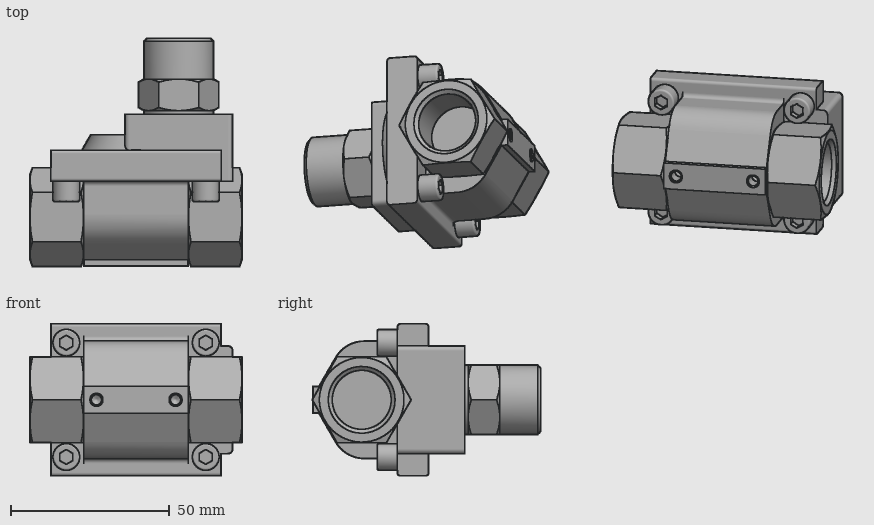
import cadquery as cq
import math


overall_length = 67.0
overall_depth = 72.1

end_hex_flats = 27.0
end_hex_chamfer_diameter = 26.7
end_hex_chamfer_slope = math.tan(math.radians(20))
end_hex_inner_x = 16.5
end_hex_thickness = overall_length / 2 - end_hex_inner_x
socket_diameter = 18.6
socket_mouth_diameter = 21.05
socket_chamfer_angle = math.radians(45)
socket_depth = end_hex_thickness

body_length = 32.8
body_height = 37.1
body_half_height = body_height / 2
body_round_radius = 10.5
body_round_y = 0.9
body_slope = math.radians(60)
body_fillet = 1.45
pad_front_y = -15.4
pad_height = 8.4

pad_hole_spacing = 24.95
pad_hole_diameter = 3.25
pad_hole_mouth_diameter = 4.1
pad_hole_depth = 5.8
pad_hole_chamfer_angle = math.radians(45)
drill_point_angle = math.radians(118)

plate_length = 53.7
plate_height = 48.0
plate_front_y = 11.25
plate_thickness = 9.9
plate_edge_radius = 1.0
plate_back_y = plate_front_y + plate_thickness

screw_x = 22.0
screw_z = 18.0
screw_head_diameter = 8.4
screw_head_height = 6.35
screw_edge_radius = 0.65
screw_key_flats = 4.05
screw_key_depth = 3.0

hub_back_y = 26.0
hub_back_diameter = 28.55
hub_half_angle = math.radians(30)

outlet_x = 13.5
block_side = 34.0
block_back_y = 32.5
block_corner_radius = 1.5

nipple_diameter = 22.0
nipple_end_y = overall_depth - end_hex_flats / math.sqrt(3)
nipple_chamfer = 1.0
nut_flats = 22.0
nut_chamfer_diameter = 21.8
nut_chamfer_slope = math.tan(math.radians(30))
nut_front_y = 33.5
nut_thickness = 10.1


def facing_y(y, x=0, z=0):
    """Sketch plane at the given Y whose normal is +Y, with its own x along +X."""
    return cq.Workplane(cq.Plane(origin=(x, y, z), xDir=(1, 0, 0), normal=(0, 1, 0)))


def chamfered_hexagon(plane, flats, thickness, chamfer_diameter, slope):
    """Hexagonal prism with both ends turned down to a cone; corners on the plane's x axis."""
    corner_radius = flats / math.sqrt(3)
    chamfer_radius = chamfer_diameter / 2
    drop = (corner_radius - chamfer_radius) * slope
    prism = plane.polygon(6, 2 * corner_radius).extrude(thickness)
    turned = (
        cq.Workplane("XZ")
        .moveTo(0, 0)
        .lineTo(chamfer_radius, 0)
        .lineTo(corner_radius, drop)
        .lineTo(corner_radius, thickness - drop)
        .lineTo(chamfer_radius, thickness)
        .lineTo(0, thickness)
        .close()
        .revolve(360, (0, 0, 0), (0, 1, 0))
    )
    return prism.intersect(plane.newObject([turned.val().located(plane.plane.location)]))


def turned_cutter(plane, mouth_diameter, diameter, depth, chamfer_angle, point_angle=math.pi):
    """Round hole along the plane's normal with a conical mouth and an optional drill point."""
    radius = diameter / 2
    mouth_radius = mouth_diameter / 2
    mouth_depth = (mouth_radius - radius) / math.tan(chamfer_angle)
    hole = plane.circle(radius).extrude(depth)
    mouth = cq.Solid.makeCone(mouth_radius, radius, mouth_depth).located(plane.plane.location)
    hole = hole.union(cq.Workplane(mouth))
    if point_angle < math.pi:
        point_depth = radius / math.tan(point_angle / 2)
        point = cq.Solid.makeCone(radius, 0, point_depth)
        point = point.moved(cq.Location(cq.Vector(0, 0, depth)))
        hole = hole.union(cq.Workplane(point.moved(plane.plane.location)))
    return hole


def middle_body():
    """Rounded body with sloped faces running into the flat pad, and its fillets at the plate."""
    round_z = body_half_height - body_round_radius
    normal_angle = math.pi / 2 - body_slope

    def on_round(angle):
        y = body_round_y - body_round_radius * math.cos(angle)
        return y, round_z + body_round_radius * math.sin(angle)

    slope_y, slope_z = on_round(normal_angle)
    middle_y, middle_z = on_round((normal_angle + math.pi / 2) / 2)
    pad_z = pad_height / 2
    pad_edge_y = slope_y - (slope_z - pad_z) / math.tan(body_slope)
    fillet_y = plate_front_y - body_fillet
    fillet_z = body_half_height + body_fillet
    fillet_reach = body_fillet * math.sqrt(0.5)
    upper_half = (
        cq.Workplane("YZ", origin=(-body_length / 2, 0, 0))
        .moveTo(plate_front_y, 0)
        .lineTo(plate_front_y, fillet_z)
        .threePointArc(
            (fillet_y + fillet_reach, fillet_z - fillet_reach),
            (fillet_y, body_half_height),
        )
        .lineTo(body_round_y, body_half_height)
        .threePointArc((middle_y, middle_z), (slope_y, slope_z))
        .lineTo(pad_edge_y, pad_z)
        .lineTo(pad_front_y, pad_z)
        .lineTo(pad_front_y, 0)
        .close()
        .extrude(body_length)
    )
    body = upper_half.union(upper_half.mirror("XY"))
    for x in (-pad_hole_spacing / 2, pad_hole_spacing / 2):
        body = body.cut(
            turned_cutter(
                facing_y(pad_front_y, x),
                pad_hole_mouth_diameter,
                pad_hole_diameter,
                pad_hole_depth,
                pad_hole_chamfer_angle,
                drill_point_angle,
            )
        )
    return body


def end_fitting(side):
    """End hexagon with a blind socket; side is -1 or +1 along X."""
    outer_plane = cq.Plane(
        origin=(side * overall_length / 2, 0, 0), xDir=(0, 1, 0), normal=(-side, 0, 0)
    )
    hexagon = chamfered_hexagon(
        cq.Workplane(outer_plane),
        end_hex_flats,
        end_hex_thickness,
        end_hex_chamfer_diameter,
        end_hex_chamfer_slope,
    )
    neck = (
        cq.Workplane(outer_plane)
        .circle(end_hex_chamfer_diameter / 2)
        .extrude(overall_length / 2 - body_length / 2)
    )
    socket = turned_cutter(
        cq.Workplane(outer_plane),
        socket_mouth_diameter,
        socket_diameter,
        socket_depth,
        socket_chamfer_angle,
    )
    return hexagon.union(neck).cut(socket)


def flange_plate():
    return (
        facing_y(plate_front_y)
        .rect(plate_length, plate_height)
        .extrude(plate_thickness)
        .edges("|X")
        .fillet(plate_edge_radius)
    )


def cap_screw(x, z):
    """Socket head standing on the front of the plate."""
    head_y = plate_front_y - screw_head_height
    head = (
        facing_y(head_y, x, z)
        .circle(screw_head_diameter / 2)
        .extrude(screw_head_height)
        .faces("<Y")
        .edges()
        .fillet(screw_edge_radius)
    )
    key_corners = 2 * screw_key_flats / math.sqrt(3)
    key = (
        facing_y(head_y, x, z)
        .transformed(rotate=(0, 0, 90))
        .polygon(6, key_corners)
        .extrude(screw_key_depth)
    )
    return head.cut(key)


def tapered_hub():
    length = hub_back_y - plate_back_y
    back_radius = hub_back_diameter / 2
    front_radius = back_radius + length * math.tan(hub_half_angle)
    start = cq.Vector(0, plate_back_y, 0)
    backward = cq.Vector(0, 1, 0)
    return cq.Workplane(cq.Solid.makeCone(front_radius, back_radius, length, start, backward))


def outlet_block():
    return (
        facing_y(plate_front_y, outlet_x)
        .rect(block_side, block_side)
        .extrude(block_back_y - plate_front_y)
        .edges("|Y")
        .fillet(block_corner_radius)
    )


def outlet_nipple():
    nipple = (
        facing_y(block_back_y, outlet_x)
        .circle(nipple_diameter / 2)
        .extrude(nipple_end_y - block_back_y)
        .faces(">Y")
        .edges()
        .chamfer(nipple_chamfer)
    )
    nut = chamfered_hexagon(
        facing_y(nut_front_y, outlet_x),
        nut_flats,
        nut_thickness,
        nut_chamfer_diameter,
        nut_chamfer_slope,
    )
    return nipple.union(nut)


result = flange_plate().union(outlet_block()).union(tapered_hub()).union(outlet_nipple())
result = result.union(middle_body())
for side in (-1, 1):
    result = result.union(end_fitting(side))
    for z in (-screw_z, screw_z):
        result = result.union(cap_screw(side * screw_x, z))